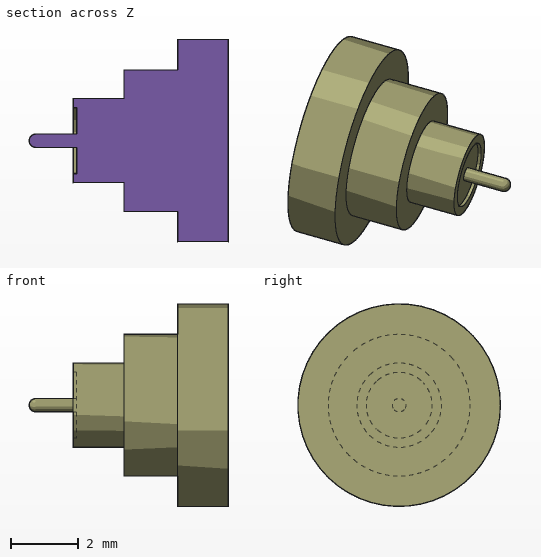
import cadquery as cq

flange_diameter = 6.0
flange_length = 1.5
middle_diameter = 4.2
middle_length = 1.595
nose_diameter = 2.5
nose_length = 1.5
recess_diameter = 1.95
recess_depth = 0.1
pin_diameter = 0.4
pin_length = 1.3

middle_start = nose_length
flange_start = middle_start + middle_length


def cylinder(diameter, start, length):
    """Cylinder along X, beginning at the given station."""
    return cq.Workplane("YZ", origin=(start, 0, 0)).circle(diameter / 2).extrude(length)


def domed_pin():
    """Pin with a hemispherical tip, rooted in the floor of the recess."""
    radius = pin_diameter / 2
    dome_base = radius - pin_length
    shank = cylinder(pin_diameter, dome_base, recess_depth - dome_base)
    dome = cq.Workplane("XY").sphere(radius).translate((dome_base, 0, 0))
    return shank.union(dome)


body = (
    cylinder(nose_diameter, 0, nose_length)
    .union(cylinder(middle_diameter, middle_start, middle_length))
    .union(cylinder(flange_diameter, flange_start, flange_length))
)
recess = cylinder(recess_diameter, 0, recess_depth)
result = body.cut(recess).union(domed_pin())